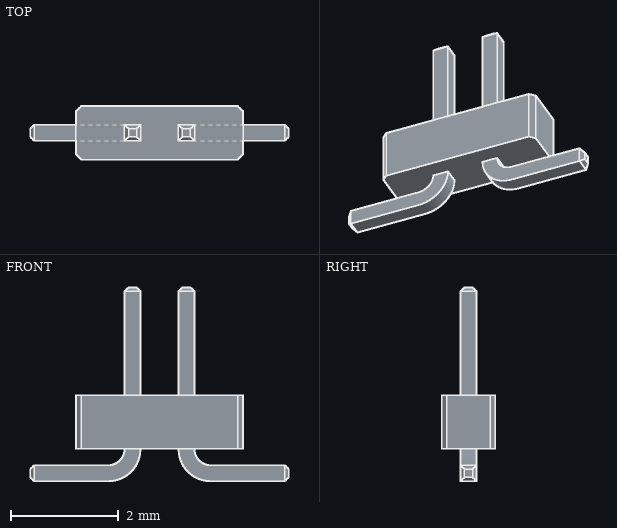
import cadquery as cq


pitch = 1.0
pin_width = 0.3
tip_chamfer = 0.075
total_height = 3.6
foot_span = 4.8
inner_bend_radius = 0.3
outer_bend_radius = inner_bend_radius + pin_width

body_length = 3.1
body_width = 1.0
body_height = 1.0
body_corner_chamfer = 0.1
body_bottom = outer_bend_radius


def make_body():
    """Rectangular housing with chamfered vertical corners."""
    return (
        cq.Workplane("XY", origin=(0, 0, body_bottom))
        .rect(body_length, body_width)
        .extrude(body_height)
        .edges("|Z")
        .chamfer(body_corner_chamfer)
    )


def make_right_pin():
    """Square pin that runs down through the housing and bends out to a foot along +X."""
    inner_x = (pitch - pin_width) / 2
    outer_x = inner_x + pin_width
    bend_center = (inner_x + outer_bend_radius, outer_bend_radius)
    foot_end = foot_span / 2

    outline = (
        cq.Workplane("XZ", origin=(0, pin_width / 2, 0))
        .moveTo(inner_x, total_height)
        .lineTo(inner_x, bend_center[1])
        .radiusArc((bend_center[0], 0), -outer_bend_radius)
        .lineTo(foot_end, 0)
        .lineTo(foot_end, pin_width)
        .lineTo(bend_center[0], pin_width)
        .radiusArc((outer_x, bend_center[1]), inner_bend_radius)
        .lineTo(outer_x, total_height)
        .close()
    )
    pin = outline.extrude(pin_width)
    pin = pin.faces(">Z").chamfer(tip_chamfer)
    return pin.faces(">X").chamfer(tip_chamfer)


right_pin = make_right_pin()
left_pin = right_pin.mirror("YZ")
result = make_body().union(right_pin).union(left_pin)